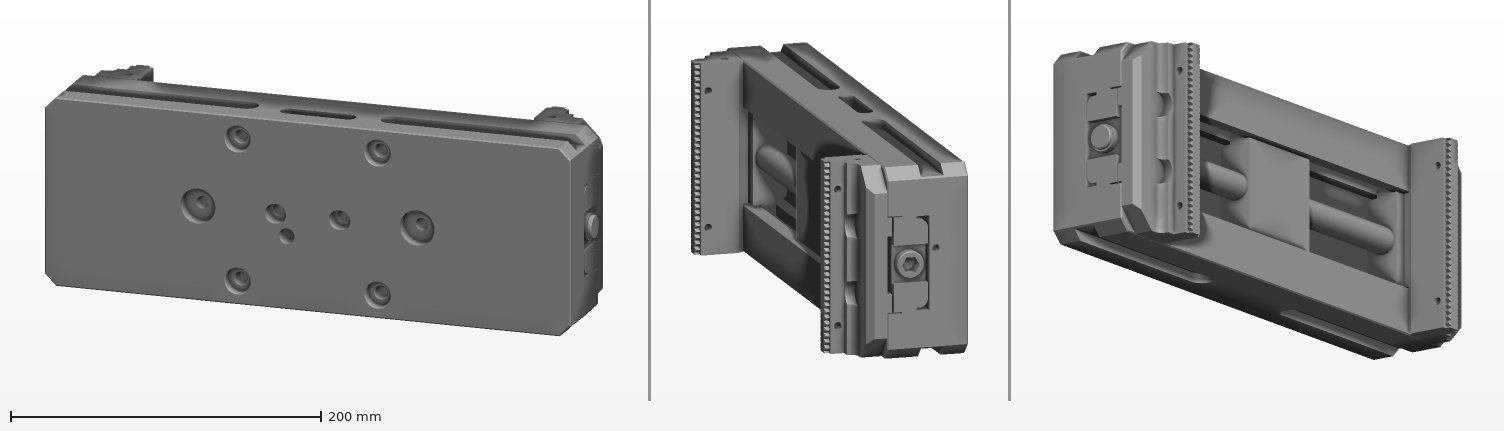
import cadquery as cq
import math


BODY_LENGTH = 359.0
BODY_DEPTH = 54.8
BODY_HEIGHT = 127.0
CORNER_CHAMFER = 7.5
EDGE_CHAMFER = 0.9
HALF_LENGTH = BODY_LENGTH / 2
HALF_HEIGHT = BODY_HEIGHT / 2

SLOT_FLOOR = 26.3
SLOT_HALF = 31.5
SLOT_MOUTH_HALF = 32.5
ARM_FRONT = 35.0
ARM_BACK = 45.0
ARM_HALF = 39.0

GROOVE_CENTER_Y = 24.0
GROOVE_WIDTH = 15.5
GROOVE_DEPTH = 6.5
GROOVE_INNER_END = 42.0

WINDOW_LENGTH = 51.5
WINDOW_WIDTH = 11.0
WINDOW_CENTER_Y = 20.8
WINDOW_DEPTH = 30.5
WINDOW_TILT = 13.0

BOLT_X = 47.8
BOLT_Z = 47.8
BOLT_HEAD_DIAMETER = 16.8
BOLT_HEAD_DEPTH = 6.5
BOLT_RIM_CHAMFER = 0.7
BOLT_HOLE_DIAMETER = 8.0
BOLT_HOLE_CHAMFER = 0.7
BOLT_HOLE_DEPTH = 18.2
PORT_X = 75.0
PORT_DIAMETER = 23.7
PORT_DEPTH = 9.0
PORT_BORE_DIAMETER = 8.5
FIXING_X = 22.0
FIXING_HEAD_LENGTH = 14.5
FIXING_HEAD_WIDTH = 13.0
FIXING_HEAD_DEPTH = 9.0
FIXING_SLOT_LENGTH = 10.2
FIXING_SLOT_WIDTH = 8.5
DOWEL_X = -14.2
DOWEL_Z = -14.2
DOWEL_DIAMETER = 10.5
DOWEL_DEPTH = 9.0

END_HOLE_Y = 22.0
END_HOLE_Z = 9.5
END_HOLE_DIAMETER = 4.7
END_HOLE_DEPTH = 7.3

SPINDLE_Y = 39.8
SPINDLE_DIAMETER = 18.2
SPINDLE_TIP_DIAMETER = 16.0
SPINDLE_OVERHANG = 3.0
SPINDLE_CHAMFER = 0.7
HEX_ACROSS_FLATS = 10.2
HEX_DEPTH = 9.0

SLIDE_FRONT = 27.5
SLIDE_BACK = 50.5
SLIDE_HALF = 31.5
SLIDE_FRONT_HALF = 29.2
SLIDE_FILLET = 5.5
CARRIAGE_LENGTH = 51.0
RECESS_WIDTH = 25.5
RECESS_DEPTH = 4.7
BEARING_LENGTH = 65.7
BEARING_HOLE_DIAMETER = 6.0

JAW_INNER_X = 134.5
JAW_UNDERCUT = 1.5
JAW_UNDERCUT_Y = 58.0
JAW_CORNER_CHAMFER = 15.5
JAW_KEY_FRONT = 51.5
SHELF_Y = 68.0
SHELF_EDGE_CHAMFER_X = 3.5
SHELF_EDGE_CHAMFER_Y = 4.5
STEP_X = 155.5
STEP_Y = 74.5
STEP_FILLET = 5.0
TOOTH_X = 149.3
SHOULDER_Y = 83.5
GRIP_INSET = 2.2
GRIP_CHAMFER = 1.0
JAW_TOP = 87.0
SERRATION_PITCH = 4.0
SERRATION_DEPTH = 0.5
SERRATION_COUNT = 32
JAW_SCREW_X = 159.0
JAW_SCREW_Z = 22.3
JAW_SCREW_DIAMETER = 16.8
CROSS_HOLE_Y = 79.0
CROSS_HOLE_Z = 45.3
CROSS_HOLE_DIAMETER = 5.0
SIDE_HOLE_X = 144.5
SIDE_HOLE_Y = 64.5
SIDE_HOLE_DIAMETER = 5.0
SIDE_HOLE_DEPTH = 7.3
POCKET_WIDTH = 38.7
POCKET_LENGTH = 18.2
POCKET_FILLET = 2.0

DRILL_TIP_ANGLE = 118.0


def rod_x(diameter, x_start, x_end, y=SPINDLE_Y, z=0):
    """Cylinder along X."""
    return (cq.Workplane("YZ", origin=(x_start, y, z))
            .circle(diameter / 2).extrude(x_end - x_start))


def rod_y(diameter, x, z, y_start, y_end):
    """Cylinder along Y."""
    return (cq.Workplane("XZ", origin=(x, y_start, z))
            .circle(diameter / 2).extrude(y_start - y_end))


def obround_y(length, width, x, y_start, y_end):
    """Round-ended slot cutter along Y, with its long side along X."""
    return (cq.Workplane("XZ", origin=(x, y_start, 0))
            .slot2D(length, width).extrude(y_start - y_end))


def drill_tip(diameter, base, direction):
    """Conical bottom of a drilled hole."""
    height = diameter / 2 / math.tan(math.radians(DRILL_TIP_ANGLE / 2))
    return cq.Workplane(cq.Solid.makeCone(diameter / 2, 0, height, cq.Vector(*base), cq.Vector(*direction)))


def countersink_y(diameter, chamfer, x, y, z):
    """45 degree cone that chamfers the mouth of a hole along +Y."""
    return cq.Workplane(cq.Solid.makeCone(diameter / 2 + chamfer, diameter / 2, chamfer,
                                          cq.Vector(x, y, z), cq.Vector(0, 1, 0)))


def extrude_yz(points, x_start, x_end):
    """Prism along X from an outline of (y, z) points."""
    return cq.Workplane("YZ", origin=(x_start, 0, 0)).polyline(points).close().extrude(x_end - x_start)


def mirrored_outline(half_points):
    """Close a +Z half outline with its reflection across Z = 0."""
    return half_points + [(y, -z) for y, z in reversed(half_points)]


def guide_slot():
    half = [(SLOT_FLOOR, SLOT_HALF), (ARM_FRONT, SLOT_HALF), (ARM_FRONT, ARM_HALF), (ARM_BACK, ARM_HALF),
            (ARM_BACK, SLOT_MOUTH_HALF), (BODY_DEPTH, SLOT_MOUTH_HALF)]
    return extrude_yz(mirrored_outline(half), -HALF_LENGTH, HALF_LENGTH)


def grip_groove(x_sign, z_sign):
    end_center = GROOVE_INNER_END + GROOVE_WIDTH / 2
    straight = HALF_LENGTH - end_center
    groove = (cq.Workplane("XY").center(end_center + straight / 2, GROOVE_CENTER_Y)
              .rect(straight, GROOVE_WIDTH).extrude(GROOVE_DEPTH)
              .union(cq.Workplane("XY").center(end_center, GROOVE_CENTER_Y)
                     .circle(GROOVE_WIDTH / 2).extrude(GROOVE_DEPTH))
              .translate((0, 0, HALF_HEIGHT - GROOVE_DEPTH)))
    if x_sign < 0:
        groove = groove.mirror("YZ")
    if z_sign < 0:
        groove = groove.mirror("XY")
    return groove


def window():
    tilt = math.radians(WINDOW_TILT)
    clearance = WINDOW_WIDTH
    width = WINDOW_WIDTH * math.cos(tilt)
    plane = cq.Plane(origin=(0, WINDOW_CENTER_Y, HALF_HEIGHT), xDir=(1, 0, 0),
                     normal=(0, -math.sin(tilt), math.cos(tilt)))
    return (cq.Workplane(plane).workplane(offset=-WINDOW_DEPTH)
            .slot2D(WINDOW_LENGTH, width).extrude(WINDOW_DEPTH + clearance))


def bolt_hole(x, z):
    head = rod_y(BOLT_HEAD_DIAMETER, x, z, 0, BOLT_HEAD_DEPTH)
    rim = countersink_y(BOLT_HEAD_DIAMETER, BOLT_RIM_CHAMFER, x, 0, z)
    shank_rim = countersink_y(BOLT_HOLE_DIAMETER, BOLT_HOLE_CHAMFER, x, BOLT_HEAD_DEPTH, z)
    shank = rod_y(BOLT_HOLE_DIAMETER, x, z, 0, BOLT_HOLE_DEPTH)
    tip = drill_tip(BOLT_HOLE_DIAMETER, (x, BOLT_HOLE_DEPTH, z), (0, 1, 0))
    return head.union(rim).union(shank).union(shank_rim).union(tip)


def lubrication_port(x):
    return (rod_y(PORT_DIAMETER, x, 0, 0, PORT_DEPTH)
            .union(rod_y(PORT_BORE_DIAMETER, x, 0, 0, SLOT_FLOOR)))


def fixing_hole(x):
    return (obround_y(FIXING_HEAD_LENGTH, FIXING_HEAD_WIDTH, x, 0, FIXING_HEAD_DEPTH)
            .union(obround_y(FIXING_SLOT_LENGTH, FIXING_SLOT_WIDTH, x, 0, SLOT_FLOOR)))


def make_housing():
    body = (cq.Workplane("XY").box(BODY_LENGTH, BODY_DEPTH, BODY_HEIGHT).translate((0, BODY_DEPTH / 2, 0))
            .edges("|Y").chamfer(CORNER_CHAMFER)
            .faces("<Y or >Y").edges().chamfer(EDGE_CHAMFER)
            .cut(guide_slot())
            .cut(window())
            .cut(rod_y(DOWEL_DIAMETER, DOWEL_X, DOWEL_Z, 0, DOWEL_DEPTH))
            .cut(rod_x(END_HOLE_DIAMETER, -HALF_LENGTH, END_HOLE_DEPTH - HALF_LENGTH, END_HOLE_Y, END_HOLE_Z)))
    for x_sign in (-1, 1):
        body = body.cut(lubrication_port(x_sign * PORT_X)).cut(fixing_hole(x_sign * FIXING_X))
        for z_sign in (-1, 1):
            body = body.cut(grip_groove(x_sign, z_sign)).cut(bolt_hole(x_sign * BOLT_X, z_sign * BOLT_Z))
    return body


def make_spindle():
    left_end = -HALF_LENGTH - SPINDLE_OVERHANG
    right_end = HALF_LENGTH + SPINDLE_OVERHANG
    hex_corner_diameter = HEX_ACROSS_FLATS / math.cos(math.pi / 6)
    socket = (cq.Workplane("YZ", origin=(left_end, SPINDLE_Y, 0))
              .polygon(6, hex_corner_diameter).extrude(HEX_DEPTH))
    socket_tip = drill_tip(HEX_ACROSS_FLATS, (left_end + HEX_DEPTH, SPINDLE_Y, 0), (1, 0, 0))
    return (rod_x(SPINDLE_DIAMETER, left_end, HALF_LENGTH)
            .union(rod_x(SPINDLE_TIP_DIAMETER, HALF_LENGTH, right_end))
            .faces("<X or >X").edges().chamfer(SPINDLE_CHAMFER)
            .cut(socket).cut(socket_tip))


def slide_block(x_start, x_end):
    """Cross-shaped block that fills the guide slot, bored for the spindle."""
    half = [(SLIDE_FRONT, SLIDE_FRONT_HALF), (ARM_FRONT, SLIDE_FRONT_HALF), (ARM_FRONT, ARM_HALF),
            (ARM_BACK, ARM_HALF), (ARM_BACK, SLIDE_HALF), (SLIDE_BACK, SLIDE_HALF)]
    return (extrude_yz(mirrored_outline(half), x_start, x_end)
            .faces("<Y").edges("|X").fillet(SLIDE_FILLET)
            .cut(rod_x(SPINDLE_DIAMETER, x_start, x_end)))


def make_carriage():
    """Carriage of the -X jaw, with a recess around the spindle in its outer end."""
    slide_depth = SLIDE_BACK - SLIDE_FRONT
    recess = (cq.Workplane("XY").box(RECESS_DEPTH, slide_depth, RECESS_WIDTH)
              .translate((RECESS_DEPTH / 2 - HALF_LENGTH, SLIDE_FRONT + slide_depth / 2, 0)))
    return slide_block(-HALF_LENGTH, CARRIAGE_LENGTH - HALF_LENGTH).cut(recess)


def make_bearing():
    bearing = slide_block(-BEARING_LENGTH / 2, BEARING_LENGTH / 2)
    for x in (-FIXING_X, FIXING_X):
        bearing = bearing.cut(rod_y(BEARING_HOLE_DIAMETER, x, 0, SLIDE_FRONT, SPINDLE_Y))
    return bearing


def jaw_profile():
    grip_outer = TOOTH_X - GRIP_INSET
    grip_inner = JAW_INNER_X + GRIP_INSET
    arc_offset = STEP_FILLET * (1 - math.sqrt(0.5))
    return (cq.Workplane("XY", origin=(0, 0, -HALF_HEIGHT))
            .moveTo(-HALF_LENGTH, BODY_DEPTH)
            .lineTo(-HALF_LENGTH, SHELF_Y - SHELF_EDGE_CHAMFER_Y)
            .lineTo(-HALF_LENGTH + SHELF_EDGE_CHAMFER_X, SHELF_Y)
            .lineTo(-STEP_X - STEP_FILLET, SHELF_Y)
            .threePointArc((-STEP_X - arc_offset, SHELF_Y + arc_offset), (-STEP_X, SHELF_Y + STEP_FILLET))
            .lineTo(-STEP_X, STEP_Y)
            .lineTo(-TOOTH_X, STEP_Y)
            .lineTo(-TOOTH_X, SHOULDER_Y)
            .lineTo(-grip_outer, SHOULDER_Y)
            .lineTo(-grip_outer, JAW_TOP - GRIP_CHAMFER)
            .lineTo(-grip_outer + GRIP_CHAMFER, JAW_TOP)
            .lineTo(-grip_inner - GRIP_CHAMFER, JAW_TOP)
            .lineTo(-grip_inner, JAW_TOP - GRIP_CHAMFER)
            .lineTo(-grip_inner, SHOULDER_Y)
            .lineTo(-JAW_INNER_X, SHOULDER_Y)
            .lineTo(-JAW_INNER_X, JAW_UNDERCUT_Y)
            .lineTo(-JAW_INNER_X - JAW_UNDERCUT, JAW_UNDERCUT_Y)
            .lineTo(-JAW_INNER_X - JAW_UNDERCUT, BODY_DEPTH)
            .close().extrude(BODY_HEIGHT))


def jaw_key():
    """Tongue under the jaw that enters the mouth of the guide slot."""
    length = HALF_LENGTH - JAW_INNER_X - JAW_UNDERCUT
    depth = BODY_DEPTH - JAW_KEY_FRONT
    return (cq.Workplane("XY").box(length, depth, 2 * SLIDE_HALF)
            .translate((length / 2 - HALF_LENGTH, JAW_KEY_FRONT + depth / 2, 0)))


def key_pocket():
    depth = BODY_DEPTH - JAW_KEY_FRONT
    return (cq.Workplane("XY").box(POCKET_LENGTH, depth, POCKET_WIDTH)
            .edges("|Y and >X").fillet(POCKET_FILLET)
            .translate((POCKET_LENGTH / 2 - HALF_LENGTH, JAW_KEY_FRONT + depth / 2, 0)))


def serrations(side_x, inward):
    """Row of V grooves along Y in one flank of the grip."""
    height = JAW_TOP - SHOULDER_Y
    half_pitch = SERRATION_PITCH / 2
    first_z = -(SERRATION_COUNT - 1) * half_pitch
    outside_x = side_x - inward * SERRATION_DEPTH
    points = [(outside_x, first_z - half_pitch), (side_x, first_z - half_pitch)]
    for index in range(SERRATION_COUNT):
        valley_z = first_z + index * SERRATION_PITCH
        points += [(side_x + inward * SERRATION_DEPTH, valley_z), (side_x, valley_z + half_pitch)]
    points.append((outside_x, -first_z + half_pitch))
    return cq.Workplane("XZ", origin=(0, SHOULDER_Y, 0)).polyline(points).close().extrude(-height)


def corner_cut(z_sign):
    corner_z = z_sign * HALF_HEIGHT
    return (cq.Workplane("XZ").moveTo(-HALF_LENGTH, corner_z)
            .lineTo(-HALF_LENGTH + JAW_CORNER_CHAMFER, corner_z)
            .lineTo(-HALF_LENGTH, corner_z - z_sign * JAW_CORNER_CHAMFER)
            .close().extrude(-JAW_TOP))


def side_hole():
    start_z = HALF_HEIGHT - SIDE_HOLE_DEPTH
    base = (-SIDE_HOLE_X, SIDE_HOLE_Y, start_z)
    return (cq.Workplane("XY", origin=base).circle(SIDE_HOLE_DIAMETER / 2).extrude(SIDE_HOLE_DEPTH)
            .union(drill_tip(SIDE_HOLE_DIAMETER, base, (0, 0, -1))))


def make_jaw():
    """Jaw at the -X end."""
    jaw = jaw_profile().union(jaw_key()).cut(key_pocket()).cut(side_hole())
    jaw = jaw.cut(serrations(GRIP_INSET - TOOTH_X, 3.5)).cut(serrations(-GRIP_INSET - JAW_INNER_X, -3.5))
    for z_sign in (-1, 1):
        jaw = (jaw.cut(corner_cut(z_sign))
               .cut(rod_y(JAW_SCREW_DIAMETER, -JAW_SCREW_X, z_sign * JAW_SCREW_Z, SHELF_Y, STEP_Y))
               .cut(rod_x(CROSS_HOLE_DIAMETER, -TOOTH_X, -JAW_INNER_X, CROSS_HOLE_Y, z_sign * CROSS_HOLE_Z)))
    return jaw


def both_ends(left_body):
    """A -X body together with its mirror image at the +X end."""
    return [left_body.val(), left_body.mirror("YZ").val()]


housing = make_housing()
spindle = make_spindle()
bearing = make_bearing()
carriages = both_ends(make_carriage())
jaws = both_ends(make_jaw())

result = cq.Compound.makeCompound([housing.val(), spindle.val(), bearing.val(), *carriages, *jaws])